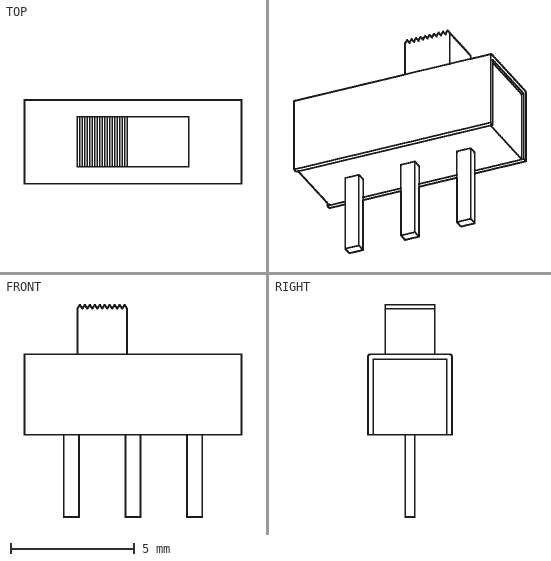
import cadquery as cq

COVER_LENGTH = 8.79
COVER_WIDTH = 3.4
COVER_HEIGHT = 3.27
COVER_WALL = 0.21
COVER_EDGE_RADIUS = 0.105
SLOT_LENGTH = 4.5

BASE_END_SETBACK = 0.1
BASE_LENGTH = COVER_LENGTH - 2 * BASE_END_SETBACK
BASE_WIDTH = COVER_WIDTH - 2 * COVER_WALL
BASE_HEIGHT = COVER_HEIGHT - COVER_WALL

SLIDER_SIDE = 2.01
SLIDER_RISE = 2.0
RIDGE_COUNT = 10
RIDGE_PITCH = SLIDER_SIDE / RIDGE_COUNT
RIDGE_HEIGHT = 0.16
SLIDER_START_X = -SLOT_LENGTH / 2

PIN_COUNT = 3
PIN_PITCH = 2.5
PIN_WIDTH = 0.62
PIN_THICKNESS = 0.4
PIN_LENGTH = 3.32


def box_from(length, width, height, bottom_z):
    """Box centred on X and Y, standing on the given height."""
    return cq.Workplane("XY", origin=(0, 0, bottom_z)).box(
        length, width, height, centered=(True, True, False)
    )


def make_cover():
    """Shell with rounded long top edges, a full-length channel and a slot for the slider."""
    block = box_from(COVER_LENGTH, COVER_WIDTH, COVER_HEIGHT, 0)
    block = block.faces(">Z").edges("|X").fillet(COVER_EDGE_RADIUS)
    channel = box_from(COVER_LENGTH, BASE_WIDTH, BASE_HEIGHT, 0)
    slot = box_from(SLOT_LENGTH, SLIDER_SIDE, COVER_WALL, BASE_HEIGHT)
    return block.cut(channel).cut(slot)


def make_base():
    """Plain block that fills the channel of the cover."""
    return box_from(BASE_LENGTH, BASE_WIDTH, BASE_HEIGHT, 0)


def make_slider():
    """Knob resting on the base, its XZ profile topped by a row of triangular ridges."""
    crest_z = COVER_HEIGHT + SLIDER_RISE
    valley_z = crest_z - RIDGE_HEIGHT
    profile = (
        cq.Workplane("XZ")
        .moveTo(SLIDER_START_X + SLIDER_SIDE, BASE_HEIGHT)
        .lineTo(SLIDER_START_X, BASE_HEIGHT)
        .lineTo(SLIDER_START_X, valley_z)
    )
    for ridge in range(RIDGE_COUNT):
        ridge_x = SLIDER_START_X + ridge * RIDGE_PITCH
        profile = profile.lineTo(ridge_x + RIDGE_PITCH / 2, crest_z)
        profile = profile.lineTo(ridge_x + RIDGE_PITCH, valley_z)
    return profile.close().extrude(SLIDER_SIDE / 2, both=True)


def make_pin(center_x):
    """Rectangular terminal hanging from the underside of the base."""
    pin = box_from(PIN_WIDTH, PIN_THICKNESS, PIN_LENGTH, -PIN_LENGTH)
    return pin.translate((center_x, 0, 0))


cover = make_cover()
base = make_base()
slider = make_slider()

pins = []
for index in range(PIN_COUNT):
    pin_x = (index - (PIN_COUNT - 1) / 2) * PIN_PITCH
    pins.append(make_pin(pin_x).val())

result = cq.Compound.makeCompound([cover.val(), base.val(), slider.val(), *pins])